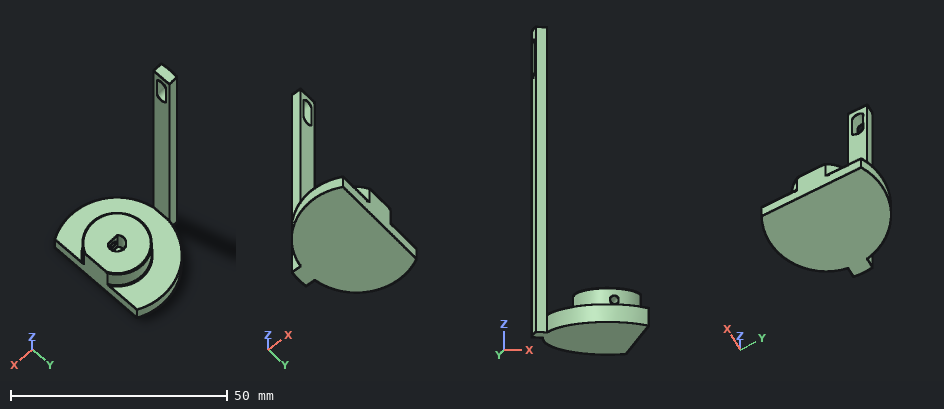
import cadquery as cq
import math

disc_diameter = 30.0
disc_radius = disc_diameter / 2
disc_height = 4.2
flat_x = 7.1

hub_radius = 8.0
hub_height = 5.85
hub_edge = 0.2
hub_top = disc_height + hub_height

bore_radius = 2.1
bore_flat_y = -1.4
screw_diameter = 2.05
screw_z = disc_height + hub_height / 2

arm_height = 73.0
arm_width = 5.1
arm_outer_radius = 17.6
arm_inner_x = -math.sqrt(disc_radius**2 - (arm_width / 2) ** 2)

slot_width = 2.9
slot_length = 9.05
slot_top_gap = 2.5
slot_z = arm_height - slot_top_gap - slot_length / 2


def make_base():
    """Disc and hub with a shared flat on the +X side."""
    disc = cq.Workplane("XY").circle(disc_radius).extrude(disc_height)
    hub_profile = [
        (0, disc_height),
        (hub_radius + hub_edge, disc_height),
        (hub_radius, disc_height + hub_edge),
        (hub_radius, hub_top - hub_edge),
        (hub_radius - hub_edge, hub_top),
        (0, hub_top),
    ]
    hub = cq.Workplane("XZ").polyline(hub_profile).close().revolve(360, (0, 0, 0), (0, 1, 0))
    flat_cut = (
        cq.Workplane("XY")
        .box(disc_radius, 2 * disc_radius, hub_top, centered=(False, True, False))
        .translate((flat_x, 0, 0))
    )
    return disc.union(hub).cut(flat_cut)


def make_bore():
    """Blind D-shaped bore running down to the top of the disc."""
    half_flat = math.sqrt(bore_radius**2 - bore_flat_y**2)
    return (
        cq.Workplane("XY", origin=(0, 0, disc_height))
        .moveTo(-half_flat, bore_flat_y)
        .threePointArc((0, bore_radius), (half_flat, bore_flat_y))
        .close()
        .extrude(hub_height)
    )


def make_screw_hole():
    """Radial hole from the -Y side of the hub into the bore."""
    return (
        cq.Workplane("XZ", origin=(0, 0, screw_z))
        .circle(screw_diameter / 2)
        .extrude(disc_radius)
    )


def make_arm():
    """Slotted upright arm with a gently curved outer face."""
    half_width = arm_width / 2
    outer_corner_x = -math.sqrt(arm_outer_radius**2 - half_width**2)
    arm = (
        cq.Workplane("XY")
        .moveTo(arm_inner_x, -half_width)
        .lineTo(outer_corner_x, -half_width)
        .threePointArc((-arm_outer_radius, 0), (outer_corner_x, half_width))
        .lineTo(arm_inner_x, half_width)
        .close()
        .extrude(arm_height)
    )
    slot = (
        cq.Workplane("YZ", origin=(0, 0, slot_z))
        .slot2D(slot_length, slot_width, 90)
        .extrude(-2 * arm_outer_radius)
    )
    return arm.cut(slot)


result = make_base().cut(make_bore()).cut(make_screw_hole()).union(make_arm())